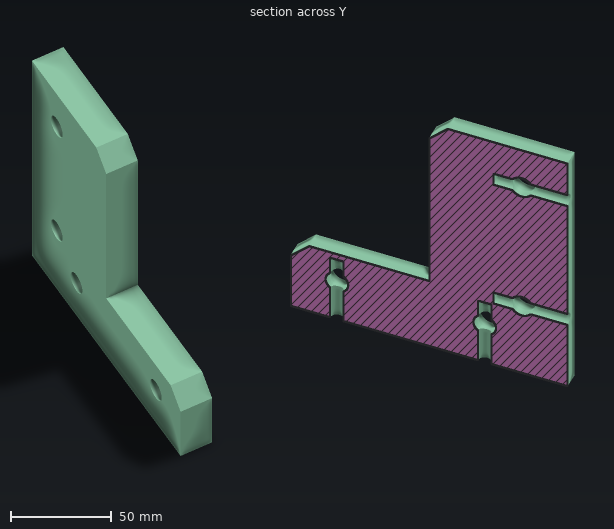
import cadquery as cq

side = 150.0
thickness = 18.0
upright_width = 75.0
foot_height = 44.1
corner_chamfer = 10.0

bore_diameter = 12.0
edge_hole_diameter = 7.0
edge_hole_depth = 40.0
bore_edge_distance = 25.0
near_bore = 45.0
far_bore = 125.0


def plate():
    """L-shaped plate with its outer corner at the origin and its front face at Y = 0."""
    outline = [
        (0, 0),
        (side, 0),
        (side, foot_height - corner_chamfer),
        (side - corner_chamfer, foot_height),
        (upright_width, foot_height),
        (upright_width, side - corner_chamfer),
        (upright_width - corner_chamfer, side),
        (0, side),
    ]
    return cq.Workplane("XZ").polyline(outline).close().extrude(-thickness)


def cylinder(diameter, length, start, direction):
    return cq.Workplane(cq.Solid.makeCylinder(diameter / 2, length, cq.Vector(*start), cq.Vector(*direction)))


result = plate()
for position in (near_bore, far_bore):
    for x, z in ((bore_edge_distance, position), (position, bore_edge_distance)):
        result = result.cut(cylinder(bore_diameter, thickness, (x, 0, z), (0, 1, 0)))

    mid = thickness / 2
    result = result.cut(cylinder(edge_hole_diameter, edge_hole_depth, (0, mid, position), (1, 0, 0)))
    result = result.cut(cylinder(edge_hole_diameter, edge_hole_depth, (position, mid, 0), (0, 0, 1)))